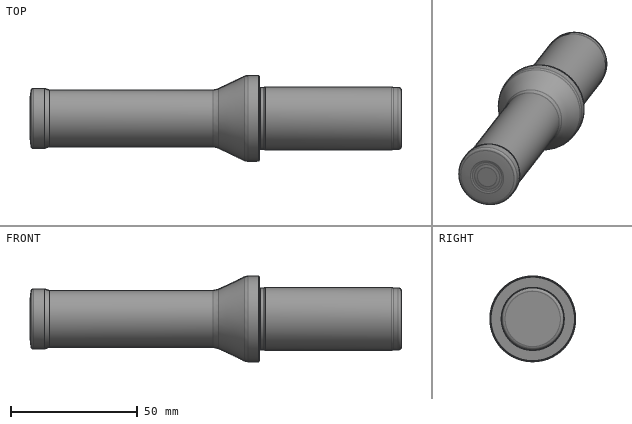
import cadquery as cq
import math

total_length = 147.0

head_radius = 11.9
stem_radius = 22.5 / 2
dome_height = 0.5
head_edge_fillet = 1.0
head_end = 5.7
taper_end = 7.6
collar_radius = 34.0 / 2
collar_end = 90.8
collar_edge_chamfer = 0.5
cone_start = 73.5
cone_angle = math.radians(25.5)
cone_start_fillet = 5.1
cone_end_fillet = 3.2

groove_outer_radius = 6.8
groove_inner_radius = 4.0
groove_floor_outer_radius = 6.0
groove_floor_inner_radius = 5.1
groove_depth = 0.1

shank_radius = 25.0 / 2
relief_radius = 24.5 / 2
neck_end = 92.6
shoulder_start = 93.2
shoulder_end = 143.0
tail_start = 143.8
tail_end_fillet = 1.3
neck_seam_chamfer = 0.5


def turn(profile):
    """Revolve a half profile, drawn in (x, radius), about the X axis."""
    return profile.close().revolve(360, (0, 0, 0), (1, 0, 0))


def circular_edges_at(body, x):
    """Select the circular edges lying in the plane at the given x."""
    margin = 0.07
    corner = total_length
    box = cq.selectors.BoxSelector(
        (x - margin, -corner, -corner), (x + margin, corner, corner), boundingbox=True
    )
    return body.edges(box).edges("%CIRCLE")


def make_handle():
    dome_rim = head_radius - head_edge_fillet
    dome_width = dome_rim - groove_outer_radius
    dome_radius = (dome_width**2 + dome_height**2) / (2 * dome_height)
    dome_mid_x = dome_radius - math.sqrt(dome_radius**2 - (dome_width / 2) ** 2)
    dome_mid = groove_outer_radius + dome_width / 2
    edge_end = dome_height + head_edge_fillet
    edge_mid = head_edge_fillet * math.sqrt(0.5)

    cone_end = cone_start + (collar_radius - stem_radius) / math.tan(cone_angle)
    handle = turn(
        cq.Workplane("XY")
        .moveTo(0, 0)
        .lineTo(0, groove_inner_radius)
        .lineTo(groove_depth, groove_floor_inner_radius)
        .lineTo(groove_depth, groove_floor_outer_radius)
        .lineTo(0, groove_outer_radius)
        .threePointArc((dome_mid_x, dome_mid), (dome_height, dome_rim))
        .threePointArc((edge_end - edge_mid, dome_rim + edge_mid), (edge_end, head_radius))
        .lineTo(head_end, head_radius)
        .lineTo(taper_end, stem_radius)
        .lineTo(cone_start, stem_radius)
        .lineTo(cone_end, collar_radius)
        .lineTo(collar_end, collar_radius)
        .lineTo(collar_end, 0)
    )
    handle = circular_edges_at(handle, cone_start).fillet(cone_start_fillet)
    handle = circular_edges_at(handle, cone_end).fillet(cone_end_fillet)
    return circular_edges_at(handle, collar_end).chamfer(collar_edge_chamfer)


def make_shank():
    seam_radius = relief_radius - neck_seam_chamfer
    shank = turn(
        cq.Workplane("XY")
        .moveTo(collar_end, 0)
        .lineTo(collar_end, seam_radius)
        .lineTo(collar_end + neck_seam_chamfer, relief_radius)
        .lineTo(neck_end, relief_radius)
        .lineTo(shoulder_start, shank_radius)
        .lineTo(shoulder_end, shank_radius)
        .lineTo(tail_start, relief_radius)
        .lineTo(total_length, relief_radius)
        .lineTo(total_length, 0)
    )
    return circular_edges_at(shank, total_length).fillet(tail_end_fillet)


handle = make_handle()
shank = make_shank()
result = cq.Compound.makeCompound([handle.val(), shank.val()])